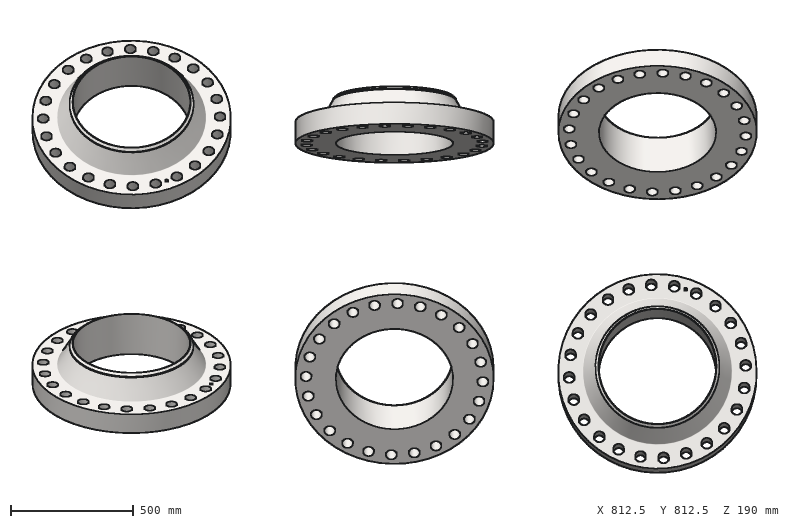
import cadquery as cq

flange_diameter = 812.5
flange_thickness = 89.0
overall_height = 190.0

hub_base_diameter = 609.5
hub_base_fillet = 3.0
neck_diameter = 508.0
neck_band_height = 5.0
bore_diameter = 479.5
root_face_width = 2.5
bevel_height = 10.5

bolt_count = 24
bolt_circle_diameter = 724.0
bolt_hole_diameter = 45.0

small_hole_diameter = 12.0
small_hole_depth = 24.0
small_hole_angle = 360.0 / bolt_count / 2


def make_body():
    """Revolve the flange, tapered hub and weld bevel around Z, leaving the bore open."""
    bore_radius = bore_diameter / 2
    neck_radius = neck_diameter / 2
    bevel_start = overall_height - bevel_height
    profile = [
        (bore_radius, 0),
        (flange_diameter / 2, 0),
        (flange_diameter / 2, flange_thickness),
        (hub_base_diameter / 2, flange_thickness),
        (neck_radius, bevel_start - neck_band_height),
        (neck_radius, bevel_start),
        (bore_radius + root_face_width, overall_height),
        (bore_radius, overall_height),
    ]
    return cq.Workplane("XZ").polyline(profile).close().revolve(360, (0, 0, 0), (0, 1, 0))


def round_hub_base(body):
    """Fillet the inner corner where the taper meets the flange face."""
    reach = hub_base_diameter / 2 + hub_base_fillet
    margin = hub_base_fillet / 2
    corner = cq.selectors.BoxSelector(
        (-reach, -reach, flange_thickness - margin),
        (reach, reach, flange_thickness + margin),
        boundingbox=True,
    )
    return body.edges(corner).edges("%CIRCLE").fillet(hub_base_fillet)


def drill_bolt_holes(body):
    holes = (
        cq.Workplane("XY")
        .polarArray(bolt_circle_diameter / 2, 0, 360, bolt_count)
        .circle(bolt_hole_diameter / 2)
        .extrude(flange_thickness)
    )
    return body.cut(holes)


def drill_small_hole(body):
    hole = (
        cq.Workplane("XY")
        .workplane(offset=flange_thickness - small_hole_depth)
        .polarArray(bolt_circle_diameter / 2, small_hole_angle, 360, 1)
        .circle(small_hole_diameter / 2)
        .extrude(small_hole_depth)
    )
    return body.cut(hole)


result = drill_small_hole(drill_bolt_holes(round_hub_base(make_body())))